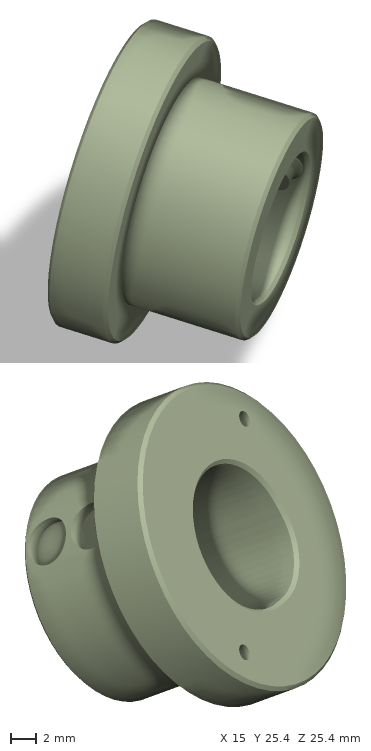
import cadquery as cq
import math

total_length = 15.0
flange_diameter = 25.4
flange_thickness = 5.1
sleeve_diameter = 18.8
edge_chamfer = 0.3

bore_radius = 6.0
bore_widened_reach = 6.38
flat_angle = math.radians(45)

pin_hole_diameter = 1.3
pin_hole_depth = 3.0
pin_hole_offset = 10.2

screw_diameter = 4.0
screw_length = 4.0
screw_positions = [8.0, 12.5]
screw_tip_y = 4.25
screw_point_diameter = 3.1
screw_point_length = 1.05


def make_bore_cutter():
    """Through bore with its wide side toward -Y."""
    cosine = math.cos(flat_angle)
    small_radius = (bore_radius - bore_widened_reach * cosine) / (1 - cosine)
    small_offset = bore_widened_reach - small_radius
    main_tangent = bore_radius * cosine
    small_tangent_y = -small_offset - small_radius * cosine
    small_tangent_z = small_radius * math.sin(flat_angle)

    profile = (
        cq.Workplane("YZ")
        .moveTo(-main_tangent, main_tangent)
        .threePointArc((bore_radius, 0), (-main_tangent, -main_tangent))
        .lineTo(small_tangent_y, -small_tangent_z)
        .threePointArc((-bore_widened_reach, 0), (small_tangent_y, small_tangent_z))
        .close()
    )
    return profile.extrude(total_length)


def make_hub():
    """Flange and sleeve with the chamfered bore, pin holes and set screw holes."""
    flange = (
        cq.Workplane("YZ")
        .circle(flange_diameter / 2)
        .extrude(flange_thickness)
        .edges()
        .chamfer(edge_chamfer)
    )
    sleeve = (
        cq.Workplane("YZ")
        .circle(sleeve_diameter / 2)
        .extrude(total_length)
        .faces(">X")
        .edges()
        .chamfer(edge_chamfer)
    )
    bored = flange.union(sleeve).cut(make_bore_cutter())
    box_half_width = (bore_widened_reach + sleeve_diameter / 2 - edge_chamfer) / 2
    bore_box = cq.selectors.BoxSelector(
        (-edge_chamfer, -box_half_width, -box_half_width),
        (total_length + edge_chamfer, box_half_width, box_half_width),
        boundingbox=True,
    )
    bore_mouths = bored.faces("<X or >X").edges(bore_box)
    hub = bore_mouths.chamfer(edge_chamfer)

    pin_holes = (
        cq.Workplane("YZ")
        .pushPoints([(0, pin_hole_offset), (0, -pin_hole_offset)])
        .circle(pin_hole_diameter / 2)
        .extrude(pin_hole_depth)
    )
    hub = hub.cut(pin_holes)

    for position in screw_positions:
        screw_plane = cq.Plane(origin=(position, 0, 0), xDir=(1, 0, 0), normal=(0, 1, 0))
        screw_hole = cq.Workplane(screw_plane).circle(screw_diameter / 2).extrude(sleeve_diameter / 2)
        hub = hub.cut(screw_hole)
    return hub


def make_set_screw(position):
    """Headless screw with a 45 degree shoulder leading to a cylindrical point."""
    body_radius = screw_diameter / 2
    point_radius = screw_point_diameter / 2
    shoulder_start = screw_tip_y + screw_point_length
    shoulder_end = shoulder_start + body_radius - point_radius
    half_section = [
        (0, screw_tip_y),
        (point_radius, screw_tip_y),
        (point_radius, shoulder_start),
        (body_radius, shoulder_end),
        (body_radius, screw_tip_y + screw_length),
        (0, screw_tip_y + screw_length),
    ]
    screw = cq.Workplane("XY").polyline(half_section).close().revolve(360, (0, 0, 0), (0, 1, 0))
    return screw.translate((position, 0, 0))


hub = make_hub()
set_screws = [make_set_screw(position) for position in screw_positions]

result = cq.Compound.makeCompound([hub.val(), *[screw.val() for screw in set_screws]])